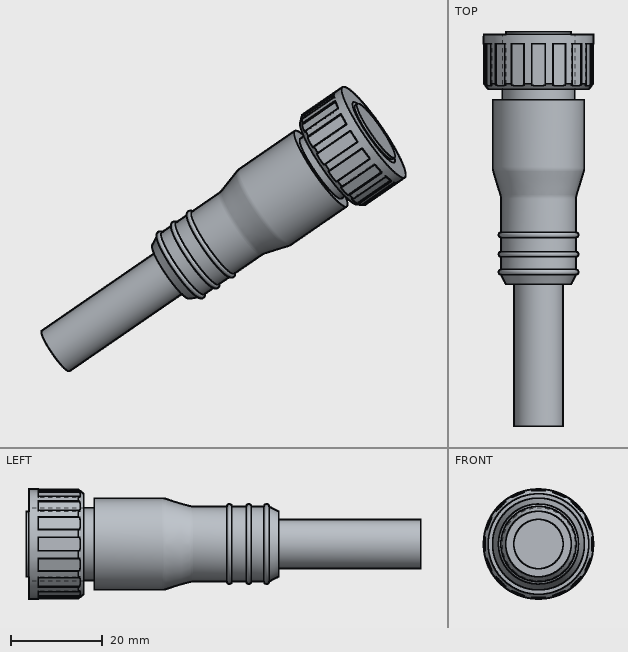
import cadquery as cq
import math

OVERALL_LENGTH = 86.0

NUT_RADIUS = 24.0 / 2
NUT_FACE_Y = -0.6
NUT_LENGTH = 11.95
NUT_CHAMFER_LENGTH = 1.2
NUT_CHAMFER_DEPTH = 1.0
GRIP_COUNT = 16
GRIP_WIDTH = 2.9
GRIP_FLAT_RADIUS = 11.6
RIM_LENGTH = 2.1

TIP_RADIUS = 7.1
NECK_RADIUS = 15.9 / 2
BODY_RADIUS = 20.0 / 2
SLEEVE_RADIUS = 16.4 / 2
SLEEVE_END_RADIUS = 7.1
CABLE_RADIUS = 10.75 / 2
SHOULDER_Y = -14.8
CONE_START_Y = -30.0
CONE_END_Y = -35.95
SLEEVE_END_Y = -55.0
CONE_BLEND_RADIUS = 2.75

RING_WIDTH = 1.1
RING_HEIGHT = 0.5
RING_CENTERS_Y = [-44.3, -48.5, -52.4]

NUT_END_Y = NUT_FACE_Y - NUT_LENGTH


def revolve_about_y(profile):
    """Turn a closed half-section, drawn as (radius, y), about the Y axis."""
    return profile.close().revolve(360, (0, 0, 0), (0, 1, 0))


def make_grip_cutter():
    """Return one flat-bottomed recess cutter on the +X side, open at the cable end."""
    depth = NUT_RADIUS - GRIP_FLAT_RADIUS
    length = NUT_LENGTH - RIM_LENGTH
    cutter = cq.Workplane("XY").box(2 * depth, length, GRIP_WIDTH, centered=(False, False, True))
    return cutter.translate((GRIP_FLAT_RADIUS, NUT_END_Y, 0))


def make_nut():
    """Return the chamfered nut, bored to fit the neck and recessed around its outside."""
    nut = revolve_about_y(
        cq.Workplane("XY")
        .moveTo(NECK_RADIUS, NUT_FACE_Y)
        .lineTo(NUT_RADIUS, NUT_FACE_Y)
        .lineTo(NUT_RADIUS, NUT_END_Y + NUT_CHAMFER_LENGTH)
        .lineTo(NUT_RADIUS - NUT_CHAMFER_DEPTH, NUT_END_Y)
        .lineTo(NECK_RADIUS, NUT_END_Y)
    )
    cutter = make_grip_cutter()
    for index in range(GRIP_COUNT):
        angle = index * 360 / GRIP_COUNT
        nut = nut.cut(cutter.rotate((0, 0, 0), (0, 1, 0), angle))
    return nut


def add_blended_cone(profile):
    """Continue a profile along the body, down the cone and onto the sleeve.

    The two corners of the cone are rounded by arcs tangent to its neighbours.
    """
    drop = BODY_RADIUS - SLEEVE_RADIUS
    run = CONE_START_Y - CONE_END_Y
    slope = math.atan2(drop, run)
    setback = CONE_BLEND_RADIUS * math.tan(slope / 2)
    setback_radial = setback * math.sin(slope)
    setback_axial = setback * math.cos(slope)
    return (
        profile
        .lineTo(BODY_RADIUS, CONE_START_Y + setback)
        .tangentArcPoint((BODY_RADIUS - setback_radial, CONE_START_Y - setback_axial), relative=False)
        .lineTo(SLEEVE_RADIUS + setback_radial, CONE_END_Y + setback_axial)
        .tangentArcPoint((SLEEVE_RADIUS, CONE_END_Y - setback), relative=False)
    )


def add_rings(profile):
    """Continue a profile along the sleeve with its rings, each rounded by two quarter arcs."""
    half_width = RING_WIDTH / 2
    half_crest = half_width - RING_HEIGHT
    crest_radius = SLEEVE_RADIUS + RING_HEIGHT
    for center_y in RING_CENTERS_Y:
        profile = (
            profile
            .lineTo(SLEEVE_RADIUS, center_y + half_width)
            .radiusArc((crest_radius, center_y + half_crest), RING_HEIGHT)
            .lineTo(crest_radius, center_y - half_crest)
            .radiusArc((SLEEVE_RADIUS, center_y - half_width), RING_HEIGHT)
        )
    return profile


def make_plug():
    """Return the moulded plug with its cable, as one turned solid."""
    profile = (
        cq.Workplane("XY")
        .moveTo(0, 0)
        .lineTo(TIP_RADIUS, 0)
        .lineTo(TIP_RADIUS, NUT_FACE_Y)
        .lineTo(NECK_RADIUS, NUT_FACE_Y)
        .lineTo(NECK_RADIUS, SHOULDER_Y)
        .lineTo(BODY_RADIUS, SHOULDER_Y)
    )
    profile = add_blended_cone(profile)
    profile = add_rings(profile)
    profile = (
        profile
        .lineTo(SLEEVE_END_RADIUS, SLEEVE_END_Y)
        .lineTo(CABLE_RADIUS, SLEEVE_END_Y)
        .lineTo(CABLE_RADIUS, -OVERALL_LENGTH)
        .lineTo(0, -OVERALL_LENGTH)
    )
    return revolve_about_y(profile)


nut = make_nut()
plug = make_plug()

result = cq.Compound.makeCompound([nut.val(), plug.val()])